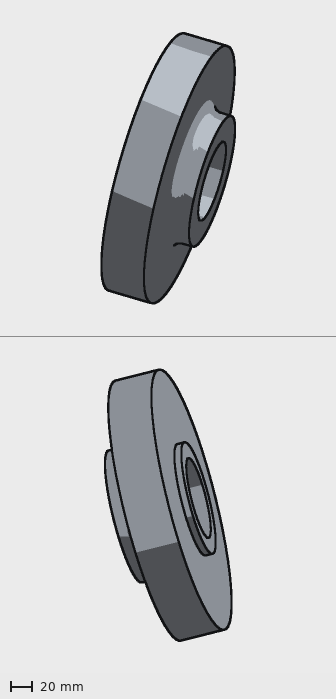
import cadquery as cq

disc_diameter = 244.5
total_length = 70.0
disc_thickness = 41.3

face_diameter = 104.9
face_height = 6.5

hub_diameter = 124.2
hub_fillet_radius = 12.5

bore_diameter = 74.8

x_start = -total_length / 2
x_disc_start = x_start + face_height
x_disc_end = x_disc_start + disc_thickness
x_end = total_length / 2
x_fillet_end = x_disc_end + hub_fillet_radius

bore_radius = bore_diameter / 2
face_radius = face_diameter / 2
disc_radius = disc_diameter / 2
hub_radius = hub_diameter / 2
fillet_root_radius = hub_radius + hub_fillet_radius


def make_half_profile():
    """Half section in the XY plane, from the bore wall outward."""
    return (
        cq.Workplane("XY")
        .moveTo(x_start, bore_radius)
        .lineTo(x_start, face_radius)
        .lineTo(x_disc_start, face_radius)
        .lineTo(x_disc_start, disc_radius)
        .lineTo(x_disc_end, disc_radius)
        .lineTo(x_disc_end, fillet_root_radius)
        .radiusArc((x_fillet_end, hub_radius), -hub_fillet_radius)
        .lineTo(x_end, hub_radius)
        .lineTo(x_end, bore_radius)
        .close()
    )


result = make_half_profile().revolve(360, (0, 0, 0), (1, 0, 0))